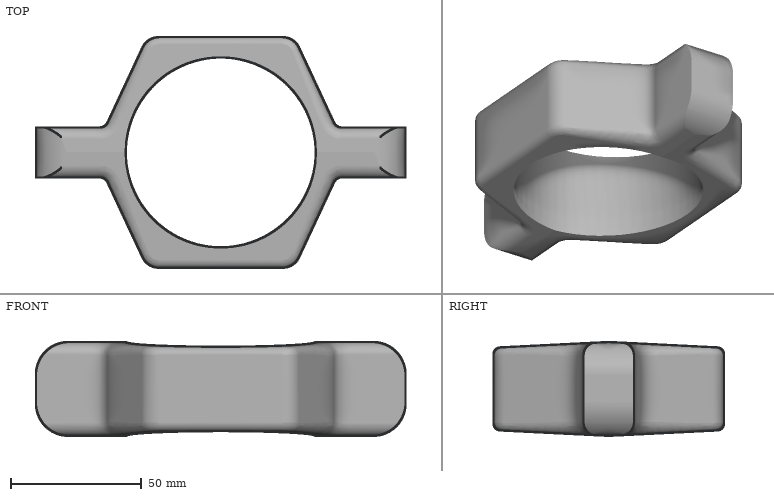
import cadquery as cq
import math

LENGTH = 142.24
HUB_WIDTH = 88.77
RIDGE_HEIGHT = 36.17
BORE_DIAMETER = 73.03

ROOF_ANGLE = 2.85

ARM_WIDTH = 19.3
FLANK_ANGLE = 65.0
HUB_CORNER_X = 28.2
HUB_CORNER_RADIUS = 7.0
ARM_ROOT_RADIUS = 3.175

ARM_RIM_RADIUS = 4.7
HUB_RIM_RADIUS = 3.0

TIP_RADIUS = 12.7

TRIM_ALLOWANCE = 5.0

half_length = LENGTH / 2
half_hub = HUB_WIDTH / 2
half_arm = ARM_WIDTH / 2
half_ridge = RIDGE_HEIGHT / 2
arm_root_x = HUB_CORNER_X + (half_hub - half_arm) / math.tan(math.radians(FLANK_ANGLE))
blank_end_x = half_length + TRIM_ALLOWANCE


def box_between(x_size, y_size):
    """Selector for edges whose centres lie inside a box about the origin, over the full height."""
    corner = (x_size / 2, y_size / 2, half_ridge)
    return cq.selectors.BoxSelector(tuple(-c for c in corner), corner)


def plan_prism():
    """Elongated hexagon with one arm on each side, its upright corners rounded."""
    quarter = [
        (blank_end_x, half_arm),
        (arm_root_x, half_arm),
        (HUB_CORNER_X, half_hub),
    ]
    upper = quarter + [(-x, y) for x, y in reversed(quarter)]
    lower = [(-x, -y) for x, y in upper]
    prism = cq.Workplane("XY").polyline(upper + lower).close().extrude(half_ridge, both=True)

    hub_corners = box_between(HUB_CORNER_X + arm_root_x, 2 * HUB_WIDTH)
    arm_roots = box_between(arm_root_x + blank_end_x, 2 * ARM_WIDTH)
    prism = prism.edges("|Z").edges(hub_corners).fillet(HUB_CORNER_RADIUS)
    return prism.edges("|Z").edges(arm_roots).fillet(ARM_ROOT_RADIUS)


def roof_prism():
    """Bar along X whose top and bottom slope down from the ridge."""
    eave_z = half_ridge - half_hub * math.tan(math.radians(ROOF_ANGLE))
    profile = [
        (-half_hub, eave_z),
        (0, half_ridge),
        (half_hub, eave_z),
        (half_hub, -eave_z),
        (0, -half_ridge),
        (-half_hub, -eave_z),
    ]
    return cq.Workplane("YZ").polyline(profile).close().extrude(blank_end_x, both=True)


def round_rims(blank):
    """Round the four long rims with a radius that shrinks along the flanks from arm to hub.

    CadQuery's own fillet keeps one radius, so the modelling kernel's fillet builder is used here.
    Each rim is one smooth chain of edges, and the radius is set at every vertex along it.
    """
    hub_sides = box_between(2 * HUB_CORNER_X, 2 * HUB_WIDTH)
    hub_rims = blank.edges("|X").edges(hub_sides).edges(">Y or <Y").vals()
    flank_end_x = arm_root_x - ARM_ROOT_RADIUS

    solid = blank.val()
    fillet = cq.occ_impl.shapes.BRepFilletAPI_MakeFillet(solid.wrapped)
    for edge in hub_rims:
        fillet.Add(HUB_RIM_RADIUS, edge.wrapped)

    for rim in range(1, fillet.NbContours() + 1):
        for vertex in solid.Vertices():
            is_on_rim = fillet.RelativeAbscissa(rim, vertex.wrapped) >= 0
            if is_on_rim:
                is_on_arm = abs(vertex.X) > flank_end_x
                radius = ARM_RIM_RADIUS if is_on_arm else HUB_RIM_RADIUS
                fillet.SetRadius(radius, rim, vertex.wrapped)
    return cq.Workplane(cq.Shape.cast(fillet.Shape()))


def tip_envelope():
    """Full-length bar with the four arm tip edges rounded."""
    return cq.Workplane("XY").box(LENGTH, HUB_WIDTH, RIDGE_HEIGHT).edges("|Y").fillet(TIP_RADIUS)


body = plan_prism().intersect(roof_prism())
body = round_rims(body)
body = body.intersect(tip_envelope())
bore = cq.Workplane("XY").circle(BORE_DIAMETER / 2).extrude(half_ridge, both=True)
result = body.cut(bore)